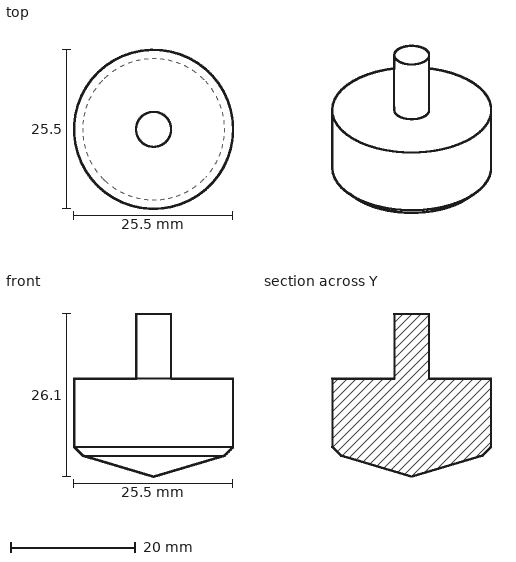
import cadquery as cq

total_height = 26.1
body_diameter = 25.5
stem_diameter = 5.6

stem_height = 10.4
tip_height = 3.37
chamfer = 1.4

body_radius = body_diameter / 2
stem_radius = stem_diameter / 2
cone_radius = body_radius - chamfer
body_bottom = tip_height + chamfer
body_top = total_height - stem_height

profile = (
    cq.Workplane("XZ")
    .moveTo(0, 0)
    .lineTo(cone_radius, tip_height)
    .lineTo(body_radius, body_bottom)
    .lineTo(body_radius, body_top)
    .lineTo(stem_radius, body_top)
    .lineTo(stem_radius, total_height)
    .lineTo(0, total_height)
    .close()
)

result = profile.revolve(360, (0, 0, 0), (0, 1, 0))